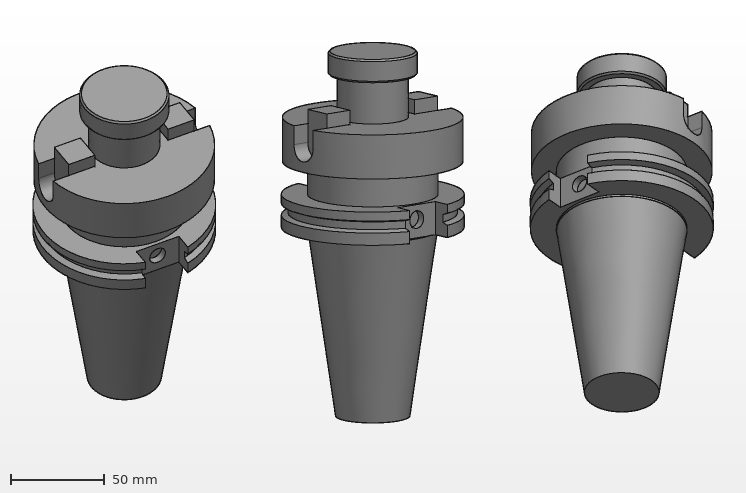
import cadquery as cq

TOTAL_HEIGHT = 199.0
TAPER_HEIGHT = 101.7
FLANGE_BOTTOM = 103.0
FLANGE_TOP = 121.0
COLLAR_BOTTOM = 139.0
COLLAR_TOP = 163.0
HEAD_HEIGHT = 12.7
PILOT_TOP = TOTAL_HEIGHT - HEAD_HEIGHT

TAPER_RATIO = 7 / 24
NECK_RADIUS = 35.0
TAPER_LARGE_RADIUS = 34.8
TAPER_SMALL_RADIUS = TAPER_LARGE_RADIUS - TAPER_HEIGHT * TAPER_RATIO / 2
FLANGE_RADIUS = 49.0
COLLAR_RADIUS = 48.4
PILOT_RADIUS = 19.1
HEAD_RADIUS = 23.9
HEAD_CHAMFER = 1.0

GROOVE_Z = 112.9
GROOVE_FLOOR_RADIUS = 45.4
GROOVE_FLOOR_WIDTH = 4.2
GROOVE_WALL_HEIGHT = 1.2

DRIVE_SLOT_WIDTH = 25.9
DRIVE_SLOT_FLOOR = 37.2
DRIVE_HOLE_RADIUS = 4.8
DRIVE_HOLE_DEPTH = 4.4

KEY_WIDTH = 16.1
KEY_TOP = 170.8
KEY_BOTTOM = 144.7
KEY_INNER_Y = 22.3
KEY_LENGTH = 16.0


def round_bottom_bar(inner_y, length, top):
    """Bar along +Y with a half-round underside and a flat top."""
    radius = KEY_WIDTH / 2
    return (
        cq.Workplane("XZ", origin=(0, inner_y, 0))
        .moveTo(-radius, top)
        .lineTo(-radius, KEY_BOTTOM + radius)
        .threePointArc((0, KEY_BOTTOM), (radius, KEY_BOTTOM + radius))
        .lineTo(radius, top)
        .close()
        .extrude(-length)
    )


def turned_blank():
    """Taper, flange, neck, collar and pilot as one revolved profile."""
    groove_low = GROOVE_Z - GROOVE_FLOOR_WIDTH / 2
    groove_high = GROOVE_Z + GROOVE_FLOOR_WIDTH / 2
    profile = [
        (0, 0),
        (TAPER_SMALL_RADIUS, 0),
        (TAPER_LARGE_RADIUS, TAPER_HEIGHT),
        (NECK_RADIUS, TAPER_HEIGHT),
        (NECK_RADIUS, FLANGE_BOTTOM),
        (FLANGE_RADIUS, FLANGE_BOTTOM),
        (FLANGE_RADIUS, groove_low - GROOVE_WALL_HEIGHT),
        (GROOVE_FLOOR_RADIUS, groove_low),
        (GROOVE_FLOOR_RADIUS, groove_high),
        (FLANGE_RADIUS, groove_high + GROOVE_WALL_HEIGHT),
        (FLANGE_RADIUS, FLANGE_TOP),
        (NECK_RADIUS, FLANGE_TOP),
        (NECK_RADIUS, COLLAR_BOTTOM),
        (COLLAR_RADIUS, COLLAR_BOTTOM),
        (COLLAR_RADIUS, COLLAR_TOP),
        (PILOT_RADIUS, COLLAR_TOP),
        (PILOT_RADIUS, PILOT_TOP),
        (0, PILOT_TOP),
    ]
    return cq.Workplane("XZ").polyline(profile).close().revolve(360, (0, 0), (0, 1))


def drive_slot_cutter():
    """Slot through the +X side of the flange and the hole in its floor."""
    slot = cq.Workplane("XY", origin=(DRIVE_SLOT_FLOOR, 0, FLANGE_BOTTOM)).box(
        FLANGE_RADIUS,
        DRIVE_SLOT_WIDTH,
        FLANGE_TOP - FLANGE_BOTTOM,
        centered=(False, True, False),
    )
    hole = (
        cq.Workplane("YZ", origin=(DRIVE_SLOT_FLOOR - DRIVE_HOLE_DEPTH, 0, GROOVE_Z))
        .circle(DRIVE_HOLE_RADIUS)
        .extrude(DRIVE_HOLE_DEPTH)
    )
    return slot.union(hole)


def about_axis(shape, angle):
    return shape.rotate((0, 0, 0), (0, 0, 1), angle)


def make_holder():
    body = turned_blank()
    key_slot = round_bottom_bar(KEY_INNER_Y, COLLAR_RADIUS, COLLAR_TOP)
    drive_slot = drive_slot_cutter()
    for angle in (0, 180):
        body = body.cut(about_axis(key_slot, angle))
        body = body.cut(about_axis(drive_slot, angle))
    return body


def make_key(angle):
    return about_axis(round_bottom_bar(KEY_INNER_Y, KEY_LENGTH, KEY_TOP), angle)


def make_screw_head():
    """Chamfered disc seated on the end of the pilot."""
    return (
        cq.Workplane("XY", origin=(0, 0, PILOT_TOP))
        .circle(HEAD_RADIUS)
        .extrude(HEAD_HEIGHT)
        .edges("%CIRCLE")
        .chamfer(HEAD_CHAMFER)
    )


holder = make_holder()
keys = [make_key(angle) for angle in (0, 180)]
screw_head = make_screw_head()

result = cq.Compound.makeCompound(
    [holder.val(), *[key.val() for key in keys], screw_head.val()]
)